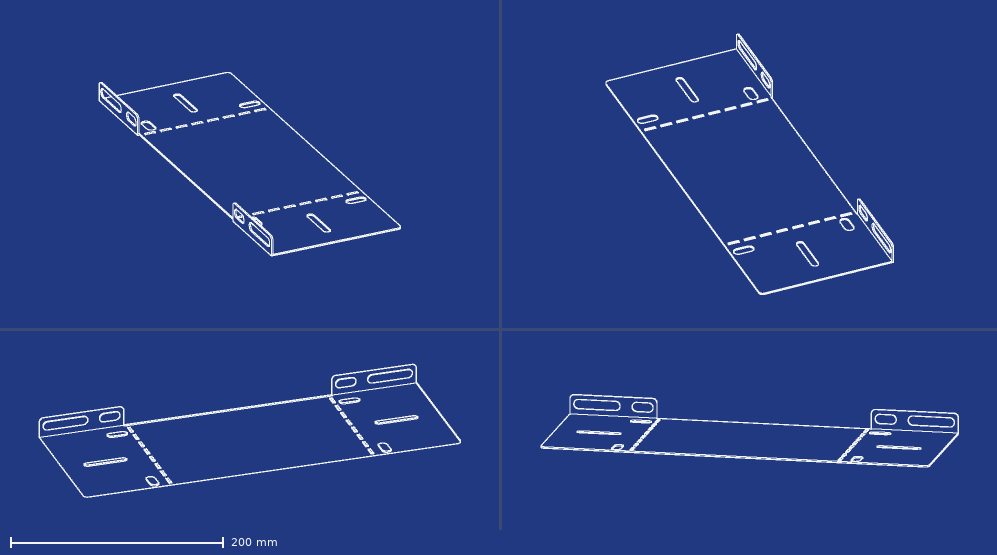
import cadquery as cq

length = 373.0
depth = 136.0
height = 20.0
thickness = 1.5
half_length = length / 2
half_depth = depth / 2

flange_length = 83.5
corner_radius = 4.0
front_setback = 2.0

wide_slot_width = 9.0
short_slot_length = 20.0
flange_slot_length = 44.5
middle_slot_length = 42.0
middle_slot_width = 7.0

flange_slot_margin = 3.7
flange_slot_height = 11.2

fixing_slot_x = 115.0
middle_slot_x = 144.0
rear_slot_inset = 13.5
middle_slot_inset = 66.5
front_slot_inset = 119.0
rear_slot_y = half_depth - rear_slot_inset
middle_slot_y = half_depth - middle_slot_inset
front_slot_y = half_depth - front_slot_inset
along_x = 0
along_y = 90

fold_x = 100.0
cut_count = 8
cut_length = 10.5
cut_width = 2.5
cut_pitch = 16.5
cut_row_y = front_setback / 2


def make_plate():
    """Flat plate with rounded rear corners and a stepped-back front edge between the flanges."""
    plate = cq.Workplane("XY").box(length, depth, thickness, centered=(True, True, False))
    plate = plate.edges("|Z and >Y").fillet(corner_radius)
    gap = (
        cq.Workplane("XY")
        .center(0, -half_depth)
        .rect(length - 2 * flange_length, 2 * front_setback)
        .extrude(thickness)
    )
    return plate.cut(gap)


def make_flange(side):
    """Upright flange with rounded top corners, a long outer slot and a short inner slot."""
    flange = (
        cq.Workplane("XY")
        .box(flange_length, thickness, height, centered=(True, False, False))
        .edges("|Y and >Z")
        .fillet(corner_radius)
        .translate((side * (half_length - flange_length / 2), -half_depth, 0))
    )
    long_x = half_length - flange_slot_margin - flange_slot_length / 2
    short_x = half_length - flange_length + flange_slot_margin + short_slot_length / 2
    for x, slot_length in ((long_x, flange_slot_length), (short_x, short_slot_length)):
        slot = (
            cq.Workplane("XZ", origin=(side * x, -half_depth, flange_slot_height))
            .slot2D(slot_length, wide_slot_width)
            .extrude(-thickness)
        )
        flange = flange.cut(slot)
    return flange


def cut_slot(body, center, slot_length, slot_width, direction):
    """Cut a round-ended slot through the plate."""
    slot = (
        cq.Workplane("XY")
        .center(*center)
        .slot2D(slot_length, slot_width, direction)
        .extrude(thickness)
    )
    return body.cut(slot)


def cut_fold_row(body, x):
    """Cut a front-to-rear row of evenly spaced narrow rectangles through the plate."""
    row = (
        cq.Workplane("XY")
        .center(x, cut_row_y)
        .rarray(3.7, cut_pitch, 1, cut_count)
        .rect(cut_width, cut_length)
        .extrude(thickness)
    )
    return body.cut(row)


result = make_plate()
for side in (-1, 1):
    result = result.union(make_flange(side))
    rear_center = (side * fixing_slot_x, rear_slot_y)
    middle_center = (side * middle_slot_x, middle_slot_y)
    front_center = (side * fixing_slot_x, front_slot_y)
    result = cut_slot(result, rear_center, short_slot_length, wide_slot_width, along_y)
    result = cut_slot(result, middle_center, middle_slot_length, middle_slot_width, along_x)
    result = cut_slot(result, front_center, short_slot_length, wide_slot_width, along_x)
    result = cut_fold_row(result, side * fold_x)